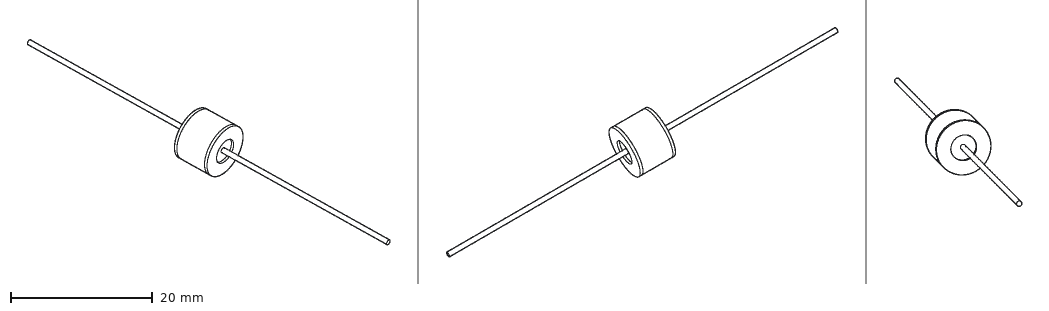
import cadquery as cq

overall_length = 66.0
body_diameter = 8.0
body_length = 6.0
cap_thickness = 0.45
recess_diameter = 3.75
recess_depth = 0.4
lead_diameter = 0.8

sleeve_length = body_length - 2 * cap_thickness
recess_floor_x = body_length / 2 - recess_depth
lead_length = overall_length / 2 - recess_floor_x


def cylinder_along_x(diameter, start_x, length):
    """Solid cylinder on the X axis, running toward +X from start_x."""
    return cq.Workplane("YZ", origin=(start_x, 0, 0)).circle(diameter / 2).extrude(length)


def make_sleeve():
    """Plain cylindrical insulator between the two electrodes."""
    return cylinder_along_x(body_diameter, -sleeve_length / 2, sleeve_length)


def make_electrode():
    """End cap on the +X side: a disc with a shallow round recess and an axial lead."""
    cap = cylinder_along_x(body_diameter, sleeve_length / 2, cap_thickness)
    recess = cylinder_along_x(recess_diameter, recess_floor_x, recess_depth)
    lead = cylinder_along_x(lead_diameter, recess_floor_x, lead_length)
    return cap.cut(recess).union(lead)


sleeve = make_sleeve()

electrodes = []
for turn in (0, 180):
    electrodes.append(make_electrode().rotate((0, 0, 0), (0, 0, 1), turn).val())

result = cq.Compound.makeCompound([sleeve.val(), *electrodes])